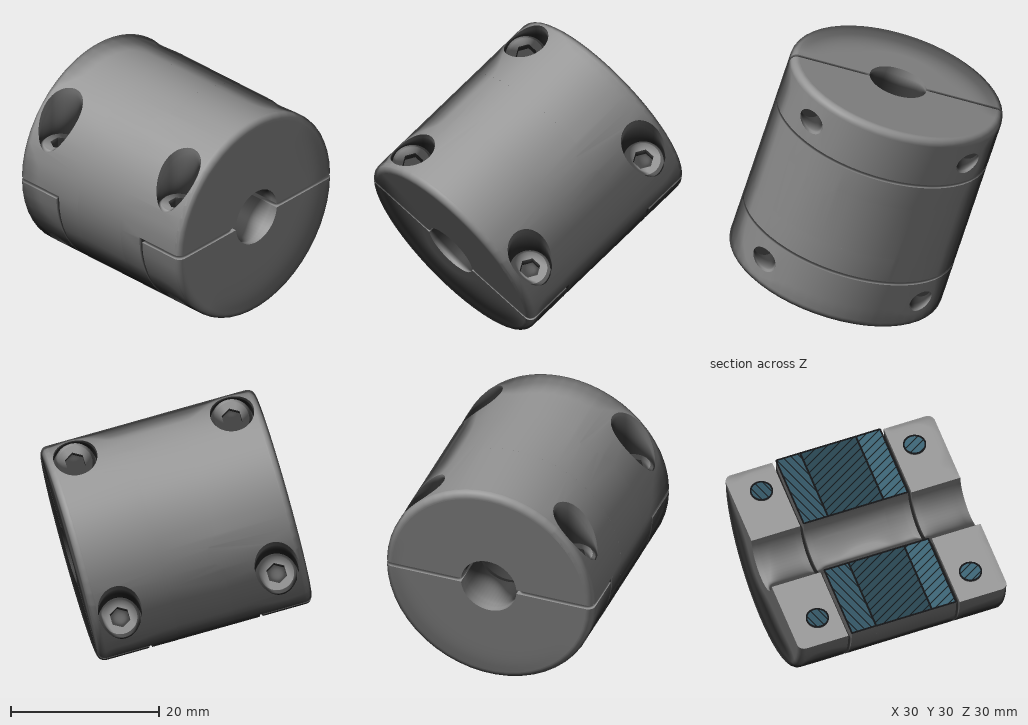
import cadquery as cq
import math

coupling_diameter = 30.0
coupling_length = 30.0
bore_diameter = 8.0
end_fillet = 1.0
element_width = 7.9
coupling_radius = coupling_diameter / 2
half_length = coupling_length / 2
seam_x = element_width / 2

clamp_length = 7.0
clamp_slit_width = 0.6
end_slit_width = 0.5

screw_end_distance = 4.0
screw_side_offset = 11.0
screw_x = screw_end_distance - half_length
shank_diameter = 3.0
shank_end_z = -6.0
head_diameter = 5.5
head_height = 3.0
head_edge_chamfer = 0.4
socket_across_flats = 2.5
socket_depth = 1.5
counterbore_diameter = 6.0
head_seat_z = 2.5

tooth_angles = (60.0, -60.0)
tooth_height = 1.63
tooth_root_half_width = 2.6
tooth_tip_radius = 1.75
tooth_tip_half_angle = 50.0


def x_cylinder(diameter, start_x, end_x):
    """Cylinder along X between two positions."""
    return cq.Workplane("YZ", origin=(start_x, 0, 0)).circle(diameter / 2).extrude(end_x - start_x)


def box_between(low, high):
    """Box from its lowest corner to its highest corner."""
    size = [b - a for a, b in zip(low, high)]
    return cq.Workplane("XY").box(*size, centered=False).translate(low)


def coupling_tooth(angle):
    """Tooth on the inner face of the left hub, running radially outward at an angle from +Y."""
    tip_x = tooth_height - seam_x
    tip_centre_x = tip_x - tooth_tip_radius

    def tip_point(degrees):
        turn = math.radians(degrees)
        return tip_centre_x + tooth_tip_radius * math.cos(turn), tooth_tip_radius * math.sin(turn)

    half_tooth = (
        cq.Workplane("XZ")
        .moveTo(tip_x, 0)
        .threePointArc(tip_point(tooth_tip_half_angle / 2), tip_point(tooth_tip_half_angle))
        .tangentArcPoint((-seam_x, tooth_root_half_width), relative=False)
        .lineTo(-seam_x, 0)
        .close()
        .extrude(-coupling_diameter)
    )
    tooth = half_tooth.union(half_tooth.mirror("XY"))
    return tooth.rotate((0, 0, 0), (1, 0, 0), angle)


def clamp_screw(side_y):
    """Socket head screw pointing down, with its shank running into the lower clamp half."""
    centre = (screw_x, side_y)
    shank = (
        cq.Workplane("XY", origin=(*centre, shank_end_z))
        .circle(shank_diameter / 2)
        .extrude(head_seat_z - shank_end_z)
    )
    head = (
        cq.Workplane("XY", origin=(*centre, head_seat_z))
        .circle(head_diameter / 2)
        .extrude(head_height)
        .faces(">Z")
        .edges()
        .chamfer(head_edge_chamfer)
    )
    socket_corner_diameter = socket_across_flats / math.cos(math.pi / 6)
    socket = (
        cq.Workplane("XY", origin=(*centre, head_seat_z + head_height - socket_depth))
        .transformed(rotate=(0, 0, 90))
        .polygon(6, socket_corner_diameter)
        .extrude(socket_depth)
    )
    return head.cut(socket).union(shank)


def clamp_slits():
    """Level slit along the bore plane and upright slit behind the lower clamp half."""
    slit_top = clamp_slit_width / 2
    slit_end_x = clamp_length + end_slit_width - half_length
    level_slit = box_between(
        (-half_length, -coupling_radius, -slit_top),
        (slit_end_x, coupling_radius, slit_top),
    )
    upright_slit = box_between(
        (slit_end_x - end_slit_width, -coupling_radius, -coupling_radius),
        (slit_end_x, coupling_radius, slit_top),
    )
    return level_slit.union(upright_slit)


def make_left_hub():
    """Hub at the -X end: body with teeth, lower clamp half and its two screws."""
    hub = x_cylinder(coupling_diameter, -half_length, -seam_x).faces("<X").edges().fillet(end_fillet)
    envelope = x_cylinder(coupling_diameter, -half_length, half_length)
    for angle in tooth_angles:
        hub = hub.union(coupling_tooth(angle).intersect(envelope))
    hub = hub.cut(x_cylinder(bore_diameter, -half_length, half_length))
    hub = hub.cut(clamp_slits())
    for side_y in (-screw_side_offset, screw_side_offset):
        counterbore = (
            cq.Workplane("XY", origin=(screw_x, side_y, head_seat_z))
            .circle(counterbore_diameter / 2)
            .extrude(coupling_radius)
        )
        screw_hole = (
            cq.Workplane("XY", origin=(screw_x, side_y, -coupling_radius))
            .circle(shank_diameter / 2)
            .extrude(coupling_radius + head_seat_z)
        )
        hub = hub.cut(counterbore).cut(screw_hole).union(clamp_screw(side_y))
    return hub


def make_elastic_element(*hubs):
    """Elastic ring that fills the space between the two hubs and around their teeth."""
    element = x_cylinder(coupling_diameter, -seam_x, seam_x)
    element = element.cut(x_cylinder(bore_diameter, -seam_x, seam_x))
    for hub in hubs:
        element = element.cut(hub)
    return element


left_hub = make_left_hub()
right_hub = left_hub.rotate((0, 0, 0), (0, 0, 1), 180)
elastic_element = make_elastic_element(left_hub, right_hub)

bodies = [left_hub, right_hub, elastic_element]
result = cq.Compound.makeCompound([body.solids().val() for body in bodies])